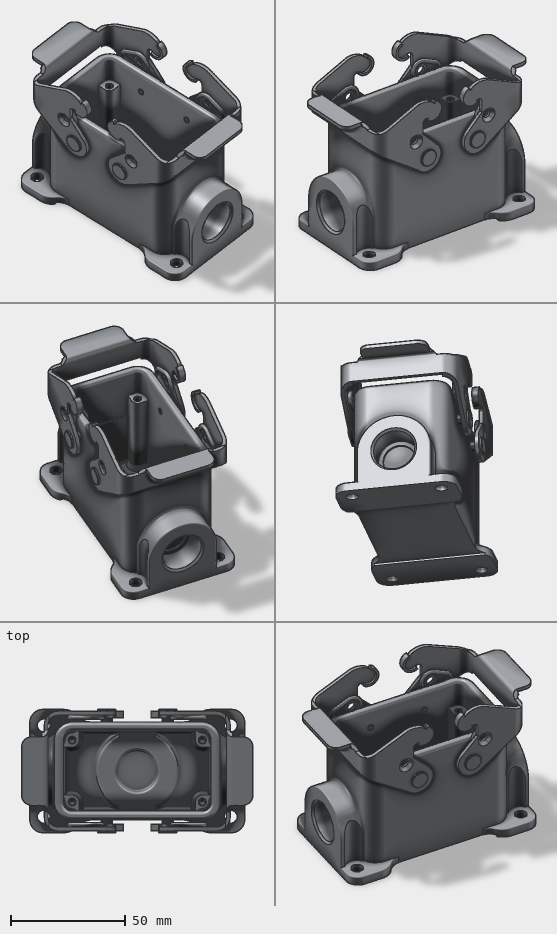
import cadquery as cq
import math

EPS = 0.1

HALF_X = 36.3
HALF_Y = 21.5
CORNER_R = 8.0
WALL = 3.9
BASE_Z = 1.0
DRAFT_Z = 50.8
RIM_Z = 56.5
INNER_DRAFT = 0.8
RIM_R = WALL / 2
INNER_HALF_X = HALF_X - WALL
INNER_HALF_Y = HALF_Y - WALL
INNER_CORNER_R = CORNER_R - WALL
FLOOR_Z = 5.0
FLOOR_FILLET = 1.2

FLOOR_BOSS_R = 18.0
FLOOR_BOSS_TOP_R = 1.3
FLOOR_BOSS_ROOT_R = 1.8
FLOOR_BOSS_BRIDGE_X = 8.0
FLOOR_BOSS_BRIDGE_OVERLAP = 2.0
RECESS_R = 9.25
RECESS_FILLET = 1.2

POST_X = 28.5
POST_Y = 13.55
POST_Z = 43.3
POST_R = 3.0
POST_HOLE_D = 2.95
POST_MOUTH_D = 3.5
POST_HOLE_DEPTH = 12.0
POST_FOOT_R = 1.9
POST_WALL_OVERLAP = 1.0

PAD_X = 31.4
PAD_HALF_Y = 12.0
PAD_Z = 32.0
PAD_TOE_R = 2.3

END_X = 47.15
ENTRY_Z = 18.4
ENTRY_R = 16.45
ENTRY_EDGE = 0.6
ENTRY_ROOT_R = 1.5
ENTRY_BORE_D = 18.5
ENTRY_BORE_DEPTH = 11.5
ENTRY_CHAMFER = 1.0
KNOCKOUT_D = 14.5
KNOCKOUT_DEPTH = 1.0

FOOT_HALF_Y = 27.1
FOOT_Z = 4.15
FOOT_CORNER_R = 6.0
FOOT_BEND_X = -32.35
FOOT_BEND_R = 8.0
FOOT_BEVEL = 1.2
FOOT_TAIL_R = 6.4
FOOT_EDGE = 0.5
FOOT_HOLE_X = 41.0
FOOT_HOLE_Y = 20.0
FOOT_HOLE_D = 5.5
SCREW_CLEARANCE_R = 5.6

SHEET = 1.75
LEVER_X = -40.75
LEVER_Y = 26.2
LEVER_BEND_R = 6.0
LEVER_BLANK_Z = 80.0
WALL_TOP_Z = 66.0
WALL_TOP_FLAT = 2.0
WALL_BOTTOM_Z = 56.75
PIVOT_X = -13.4
PIVOT_Z = 46.6
PIVOT_LUG_R = 7.0
PIN_HEAD_D = 8.0
PIN_D = 4.9
PIN_HEAD_Y = 27.2
PIN_HEAD_CHAMFER = 0.3
PIN_TIP_D = 3.0
PIN_TIP_HOLE_D = 2.1
PIN_TIP_LENGTH = 0.3
PEAK = (-19.05, 74.66)
CREST_RUN = 2.5
CREST_RISE = 0.4
HOOK_X = -10.75
HOOK_Z = 69.1
HOOK_R = 4.75
HOOK_START_ANGLE = 72
HOOK_MID_ANGLE = -30
HOOK_END_ANGLE = -125
HOOK_LIP_WIDTH = 1.2
HOOK_LIP_Y = 23.3
NOTCH_SHIFT = 0.4
NOTCH_DEPTH = 1.3
SLOT_X = -14.1
SLOT_Z = 64.5
SLOT_R = 2.0
SLOT_TIP_SHIFT = 0.3
SLOT_TIP_RISE = 1.8

DIMPLE_X = -19.76
DIMPLE_Z = 56.5
DIMPLE_HOLE_D = 3.8
DIMPLE_MOUTH_D = 6.8
COLLAR_D = 6.0
COLLAR_Y = 23.3
WIRE_R = 1.0
WIRE_Y = 23.5
WIRE_LOOP_R = 4.45
WIRE_END_X = -26.84
WIRE_END_Z = 55.1
WIRE_END_R = 2.8

TAB_END_X = -50.7
TAB_HALF_Y = 15.0
TAB_CORNER_R = 4.4
TAB_ROOT_HALF_Y = 18.0
TAB_INNER_R = 1.0


def block(x0, x1, y0, y1, z0, z1):
    """Box between two opposite corners."""
    return cq.Workplane("XY").box(x1 - x0, y1 - y0, z1 - z0, centered=False).translate((x0, y0, z0))


def rounded_prism(half_x, half_y, radius, z0, z1):
    """Vertical prism with a rounded rectangular plan."""
    prism = block(-half_x, half_x, -half_y, half_y, z0, z1)
    return prism.edges("|Z").fillet(radius)


def drafted_prism(half_x, half_y, radius, top_z, height, draft):
    """Vertical prism below top_z that narrows downward by the draft angle."""
    section = cq.Sketch().rect(2 * half_x, 2 * half_y).vertices().fillet(radius)
    prism = cq.Workplane("XY").placeSketch(section).extrude(height, taper=draft)
    return prism.mirror("XY").translate((0, 0, top_z))


def cylinder_x(x0, x1, z, radius):
    """Cylinder along X in the plane Y = 0."""
    return cq.Workplane("YZ", origin=(x0, 0, z)).circle(radius).extrude(x1 - x0)


def cylinder_y(x, z, y0, y1, radius):
    """Cylinder along Y between y0 and y1."""
    return cq.Workplane("XZ", origin=(x, y0, z)).circle(radius).extrude(y0 - y1)


def cylinder_z(x, y, z, diameter, height):
    """Vertical cylinder rising from z."""
    return cq.Workplane("XY", origin=(x, y, z)).circle(diameter / 2).extrude(height)


def on_circle(center_u, center_v, radius, degrees):
    """Point on a circle at an angle measured from the first axis."""
    angle = math.radians(degrees)
    return (center_u + radius * math.cos(angle), center_v + radius * math.sin(angle))


def with_mirror(body, plane):
    """The body together with its mirror image."""
    return body.union(body.mirror(plane))


def foot_outline():
    """Half plan (Y >= 0) of the foot flange at the -X end."""
    diagonal = math.sqrt(0.5)
    bend_x = FOOT_BEND_X + FOOT_BEND_R * diagonal
    bend_y = FOOT_HALF_Y - FOOT_BEND_R * (1 - diagonal)
    bend_mid = on_circle(FOOT_BEND_X, FOOT_HALF_Y - FOOT_BEND_R, FOOT_BEND_R, 67.5)
    tail_x = bend_x + FOOT_BEVEL
    tail_y = bend_y - FOOT_BEVEL
    tail_center_x = tail_x + FOOT_TAIL_R * diagonal
    tail_center_y = tail_y + FOOT_TAIL_R * diagonal
    tail_mid = on_circle(tail_center_x, tail_center_y, FOOT_TAIL_R, -112.5)
    tail_end = (tail_center_x, tail_center_y - FOOT_TAIL_R)
    corner_x = -END_X + FOOT_CORNER_R
    corner_y = FOOT_HALF_Y - FOOT_CORNER_R
    return (
        cq.Workplane("XY")
        .moveTo(-END_X, 0)
        .lineTo(-END_X, corner_y)
        .threePointArc(on_circle(corner_x, corner_y, FOOT_CORNER_R, 135), (corner_x, FOOT_HALF_Y))
        .lineTo(FOOT_BEND_X, FOOT_HALF_Y)
        .threePointArc(bend_mid, (bend_x, bend_y))
        .lineTo(tail_x, tail_y)
        .threePointArc(tail_mid, tail_end)
        .lineTo(tail_end[0], 0)
        .close()
    )


def make_feet():
    """Foot flange at the -X end; its underside steps up beside the mounting pad."""
    half = foot_outline().extrude(FOOT_Z)
    feet = with_mirror(half, "XZ")
    feet = feet.faces(">Z").edges().fillet(FOOT_EDGE)
    pad_x = FOOT_BEND_X + FOOT_BEND_R * math.sqrt(0.5)
    return feet.cut(block(pad_x, 0, -FOOT_HALF_Y, FOOT_HALF_Y, 0, BASE_Z))


def make_entry():
    """Arched cable entry at the -X end."""
    arch = cylinder_x(-END_X, -INNER_HALF_X, ENTRY_Z, ENTRY_R)
    arch = arch.union(block(-END_X, -INNER_HALF_X, -ENTRY_R, ENTRY_R, 0, ENTRY_Z))
    return arch.faces("<X").edges("not <Z").fillet(ENTRY_EDGE)


def make_entry_bore():
    """Blind bore of the -X entry with a knock-out recess in its end face."""
    floor_x = -END_X + ENTRY_BORE_DEPTH
    bore = cylinder_x(-END_X, floor_x, ENTRY_Z, ENTRY_BORE_D / 2)
    recess = cylinder_x(floor_x, floor_x + KNOCKOUT_DEPTH, ENTRY_Z, KNOCKOUT_D / 2)
    mouth = cq.Workplane(
        cq.Solid.makeCone(
            ENTRY_BORE_D / 2 + ENTRY_CHAMFER,
            ENTRY_BORE_D / 2,
            ENTRY_CHAMFER,
            pnt=cq.Vector(-END_X, 0, ENTRY_Z),
            dir=cq.Vector(1, 0, 0),
        )
    )
    return bore.union(recess).union(mouth)


def make_post_hole():
    """Screw hole with a chamfered mouth and a conical bottom."""
    hole_r = POST_HOLE_D / 2
    mouth_r = POST_MOUTH_D / 2
    bottom_z = POST_Z - POST_HOLE_DEPTH
    return (
        cq.Workplane("XZ")
        .polyline([
            (0, POST_Z),
            (mouth_r, POST_Z),
            (hole_r, POST_Z - (mouth_r - hole_r)),
            (hole_r, bottom_z),
            (0, bottom_z - hole_r),
        ])
        .close()
        .revolve(360, (0, 0, 0), (0, 1, 0))
        .translate((POST_X, POST_Y, 0))
    )


def make_post(side_x, side_y):
    """Screw post that fills one inner corner, with a rounded free corner and a splayed root."""
    inner_x = POST_X - POST_R
    inner_y = POST_Y - POST_R
    outer_x = INNER_HALF_X + POST_WALL_OVERLAP
    outer_y = INNER_HALF_Y + POST_WALL_OVERLAP
    post = block(inner_x, outer_x, inner_y, outer_y, FLOOR_Z - EPS, POST_Z)
    post = post.edges("|Z and <X and <Y").fillet(POST_R)
    root = block(
        inner_x - POST_FOOT_R,
        outer_x,
        inner_y - POST_FOOT_R,
        outer_y,
        FLOOR_Z - EPS,
        FLOOR_Z + POST_FOOT_R,
    )
    root = root.edges("|Z and <X and <Y").fillet(POST_R + POST_FOOT_R)
    root = root.faces(">Z").edges("<X or <Y or %CIRCLE").chamfer(POST_FOOT_R - EPS)
    post = post.union(root).cut(make_post_hole())
    if side_x < 0:
        post = post.mirror("YZ")
    if side_y < 0:
        post = post.mirror("XZ")
    return post


def make_floor_boss():
    """Round raised pad, bridged to the long walls, with a shallow central recess."""
    step_z = FLOOR_Z + FLOOR_BOSS_ROOT_R
    top_z = step_z + FLOOR_BOSS_TOP_R
    root_x = FLOOR_BOSS_R + FLOOR_BOSS_ROOT_R
    edge_x = FLOOR_BOSS_R - FLOOR_BOSS_TOP_R
    recess_mid_z = top_z - RECESS_FILLET
    rim_x = RECESS_R + RECESS_FILLET
    bottom_x = RECESS_R - RECESS_FILLET
    recess_z = recess_mid_z - RECESS_FILLET
    profile = (
        cq.Workplane("XZ")
        .moveTo(0, FLOOR_Z - EPS)
        .lineTo(root_x, FLOOR_Z - EPS)
        .lineTo(root_x, FLOOR_Z)
        .threePointArc(on_circle(root_x, step_z, FLOOR_BOSS_ROOT_R, 225), (FLOOR_BOSS_R, step_z))
        .threePointArc(on_circle(edge_x, step_z, FLOOR_BOSS_TOP_R, 45), (edge_x, top_z))
        .lineTo(rim_x, top_z)
        .threePointArc(on_circle(rim_x, recess_mid_z, RECESS_FILLET, 135), (RECESS_R, recess_mid_z))
        .threePointArc(on_circle(bottom_x, recess_mid_z, RECESS_FILLET, -45), (bottom_x, recess_z))
        .lineTo(0, recess_z)
        .close()
    )
    boss = profile.revolve(360, (0, 0, 0), (0, 1, 0))
    wall_y = INNER_HALF_Y + EPS
    boss = boss.intersect(block(-HALF_X, HALF_X, -wall_y, wall_y, 0, RIM_Z))
    bridge_y = edge_x - FLOOR_BOSS_BRIDGE_OVERLAP
    bridge = block(-FLOOR_BOSS_BRIDGE_X, FLOOR_BOSS_BRIDGE_X, bridge_y, wall_y, FLOOR_Z - EPS, top_z)
    return boss.union(with_mirror(bridge, "XZ"))


def make_rim():
    """Upright upper wall ending in a full-round bead."""
    spine_y = HALF_Y - RIM_R
    bead_z = RIM_Z - RIM_R
    spine = cq.Sketch().rect(2 * (HALF_X - RIM_R), 2 * spine_y).vertices().fillet(CORNER_R - RIM_R)
    path = cq.Workplane("XY").placeSketch(spine).extrude(RIM_R).faces("<Z").wires()
    section = (
        cq.Workplane("YZ", origin=(0, -spine_y, 0))
        .moveTo(-RIM_R, DRAFT_Z)
        .lineTo(RIM_R, DRAFT_Z)
        .lineTo(RIM_R, bead_z)
        .threePointArc((0, RIM_Z), (-RIM_R, bead_z))
        .close()
    )
    return section.sweep(path)


def make_body():
    """Solid lower body with its entries blended in and its feet attached."""
    body = rounded_prism(HALF_X, HALF_Y, CORNER_R, BASE_Z, DRAFT_Z)
    body = body.union(with_mirror(make_entry(), "YZ"))
    for side in (-1, 1):
        entry_root = cq.selectors.BoxSelector(
            (side * (HALF_X + EPS), -ENTRY_R - EPS, BASE_Z + EPS),
            (side * INNER_HALF_X, ENTRY_R + EPS, ENTRY_Z + ENTRY_R + EPS),
        )
        body = body.edges(entry_root).fillet(ENTRY_ROOT_R)
    return body.union(with_mirror(make_feet(), "YZ"))


def make_pad():
    """Thickened lower stretch of the -X end wall with a rounded toe on the floor."""
    toe_x = -PAD_X + PAD_TOE_R
    toe_z = FLOOR_Z + PAD_TOE_R
    back_x = -INNER_HALF_X - EPS
    return (
        cq.Workplane("XZ", origin=(0, PAD_HALF_Y, 0))
        .moveTo(back_x, PAD_Z)
        .lineTo(-PAD_X, PAD_Z)
        .lineTo(-PAD_X, toe_z)
        .threePointArc(on_circle(toe_x, toe_z, PAD_TOE_R, 225), (toe_x, FLOOR_Z))
        .lineTo(toe_x, FLOOR_Z - EPS)
        .lineTo(back_x, FLOOR_Z - EPS)
        .close()
        .extrude(2 * PAD_HALF_Y)
    )


def make_housing():
    """Open-topped housing with entries, feet, posts and floor boss."""
    cavity_height = DRAFT_Z - FLOOR_Z
    cavity = drafted_prism(
        INNER_HALF_X, INNER_HALF_Y, INNER_CORNER_R, DRAFT_Z, cavity_height, INNER_DRAFT
    )
    cavity = cavity.faces("<Z").edges().fillet(FLOOR_FILLET)
    housing = make_body().cut(cavity).union(make_rim())
    housing = housing.union(with_mirror(make_pad(), "YZ"))
    housing = housing.union(make_floor_boss())
    scallop_height = ENTRY_Z + ENTRY_R
    for side_x in (-1, 1):
        for side_y in (-1, 1):
            hole_x = side_x * FOOT_HOLE_X
            hole_y = side_y * FOOT_HOLE_Y
            housing = housing.union(make_post(side_x, side_y))
            housing = housing.cut(cylinder_z(hole_x, hole_y, 0, FOOT_HOLE_D, FOOT_Z))
            housing = housing.cut(
                cylinder_z(hole_x, hole_y, FOOT_Z, 2 * SCREW_CLEARANCE_R, scallop_height)
            )
    return housing.cut(with_mirror(make_entry_bore(), "YZ"))


def lever_profile():
    """Side outline of the lever: bent wall, hook, slot and pivot lug."""
    lug_top = on_circle(PIVOT_X, PIVOT_Z, PIVOT_LUG_R, 45)
    lug_mid = on_circle(PIVOT_X, PIVOT_Z, PIVOT_LUG_R, -40)
    lug_bottom = on_circle(PIVOT_X, PIVOT_Z, PIVOT_LUG_R, -125)
    slot_wall_x = SLOT_X - SLOT_R
    slot_bottom_z = lug_top[1] + lug_top[0] - slot_wall_x
    hook_start = on_circle(HOOK_X, HOOK_Z, HOOK_R, HOOK_START_ANGLE)
    hook_mid = on_circle(HOOK_X, HOOK_Z, HOOK_R, HOOK_MID_ANGLE)
    hook_end = on_circle(HOOK_X, HOOK_Z, HOOK_R, HOOK_END_ANGLE)
    notch = (hook_start[0] - NOTCH_SHIFT, hook_start[1] - NOTCH_DEPTH)
    back_end = (notch[0] - NOTCH_DEPTH, notch[1] + NOTCH_DEPTH)
    return (
        cq.Workplane("XZ", origin=(0, LEVER_Y + 1, 0))
        .moveTo(LEVER_X, WALL_TOP_Z)
        .lineTo(LEVER_X + WALL_TOP_FLAT, WALL_TOP_Z)
        .lineTo(*PEAK)
        .threePointArc((PEAK[0] + CREST_RUN, PEAK[1] + CREST_RISE), back_end)
        .lineTo(*notch)
        .lineTo(*hook_start)
        .threePointArc(hook_mid, hook_end)
        .lineTo(hook_end[0] + SLOT_TIP_SHIFT, SLOT_Z + SLOT_TIP_RISE)
        .lineTo(SLOT_X, SLOT_Z + SLOT_R)
        .threePointArc(on_circle(SLOT_X, SLOT_Z, SLOT_R, 135), (slot_wall_x, SLOT_Z))
        .lineTo(slot_wall_x, slot_bottom_z)
        .lineTo(*lug_top)
        .threePointArc(lug_mid, lug_bottom)
        .lineTo(LEVER_X, WALL_BOTTOM_Z)
        .close()
        .extrude(2 * (LEVER_Y + 1))
    )


def make_strap():
    """U-shaped sheet strap trimmed to the lever outline, flat under its end wall."""
    outer = block(LEVER_X, 0, -LEVER_Y, LEVER_Y, 0, LEVER_BLANK_Z)
    outer = outer.edges("|Z and <X").fillet(LEVER_BEND_R)
    inner_y = LEVER_Y - SHEET
    inner = block(LEVER_X + SHEET, 1, -inner_y, inner_y, 0, LEVER_BLANK_Z)
    inner = inner.edges("|Z and <X").fillet(LEVER_BEND_R - SHEET)
    strap = outer.cut(inner).intersect(lever_profile())
    flat_y = LEVER_Y - LEVER_BEND_R
    return strap.cut(block(LEVER_X, LEVER_X + SHEET, -flat_y, flat_y, 0, WALL_BOTTOM_Z))


def make_tab():
    """Finger tab bent outward from the top of the strap's end wall."""
    outer_r = TAB_INNER_R + SHEET
    bend_x = LEVER_X - TAB_INNER_R
    top_z = WALL_TOP_Z + outer_r
    plate = block(TAB_END_X, bend_x, -TAB_HALF_Y, TAB_HALF_Y, top_z - SHEET, top_z)
    plate = plate.edges("|Z and <X").fillet(TAB_CORNER_R)
    bend = (
        cq.Workplane("XZ", origin=(0, TAB_ROOT_HALF_Y, 0))
        .moveTo(bend_x, top_z)
        .threePointArc(on_circle(bend_x, WALL_TOP_Z, outer_r, 45), (bend_x + outer_r, WALL_TOP_Z))
        .lineTo(LEVER_X, WALL_TOP_Z)
        .threePointArc(on_circle(bend_x, WALL_TOP_Z, TAB_INNER_R, 45), (bend_x, top_z - SHEET))
        .close()
        .extrude(2 * TAB_ROOT_HALF_Y)
    )
    flare = (
        cq.Workplane("YZ", origin=(LEVER_X - outer_r, 0, 0))
        .polyline([
            (-TAB_ROOT_HALF_Y, WALL_TOP_Z),
            (TAB_ROOT_HALF_Y, WALL_TOP_Z),
            (TAB_HALF_Y, top_z),
            (-TAB_HALF_Y, top_z),
        ])
        .close()
        .extrude(2 * outer_r)
    )
    return plate.union(bend.intersect(flare))


def make_wire():
    """Closed wire spring: a wide loop round the dimple and a narrow loop behind it."""
    run_x = DIMPLE_X - WIRE_END_X
    run_z = DIMPLE_Z - WIRE_END_Z
    tilt = math.degrees(math.atan2(run_z, run_x))
    spread = math.degrees(math.asin((WIRE_LOOP_R - WIRE_END_R) / math.hypot(run_x, run_z)))
    upper = tilt + 90 + spread
    lower = tilt - 90 - spread
    start = on_circle(WIRE_END_X, WIRE_END_Z, WIRE_END_R, upper)
    path = (
        cq.Workplane("XZ", origin=(0, WIRE_Y, 0))
        .moveTo(*start)
        .lineTo(*on_circle(DIMPLE_X, DIMPLE_Z, WIRE_LOOP_R, upper))
        .threePointArc(
            on_circle(DIMPLE_X, DIMPLE_Z, WIRE_LOOP_R, tilt),
            on_circle(DIMPLE_X, DIMPLE_Z, WIRE_LOOP_R, lower),
        )
        .lineTo(*on_circle(WIRE_END_X, WIRE_END_Z, WIRE_END_R, lower))
        .threePointArc(on_circle(WIRE_END_X, WIRE_END_Z, WIRE_END_R, tilt + 180), start)
        .close()
    )
    run_angle = math.radians(upper - 90)
    section = cq.Plane(
        origin=(start[0], WIRE_Y, start[1]),
        xDir=(0, 1, 0),
        normal=(math.cos(run_angle), 0, math.sin(run_angle)),
    )
    return cq.Workplane(section).circle(WIRE_R).sweep(path)


def make_hook_lip():
    """Raised rim on the inner face of the hook."""
    inner_r = HOOK_R - HOOK_LIP_WIDTH
    return (
        cq.Workplane("XZ", origin=(0, LEVER_Y, 0))
        .moveTo(*on_circle(HOOK_X, HOOK_Z, HOOK_R, HOOK_START_ANGLE))
        .threePointArc(
            on_circle(HOOK_X, HOOK_Z, HOOK_R, HOOK_MID_ANGLE),
            on_circle(HOOK_X, HOOK_Z, HOOK_R, HOOK_END_ANGLE),
        )
        .lineTo(*on_circle(HOOK_X, HOOK_Z, inner_r, HOOK_END_ANGLE))
        .threePointArc(
            on_circle(HOOK_X, HOOK_Z, inner_r, HOOK_MID_ANGLE),
            on_circle(HOOK_X, HOOK_Z, inner_r, HOOK_START_ANGLE),
        )
        .close()
        .extrude(LEVER_Y - HOOK_LIP_Y)
    )


def make_pivot_pin():
    """Headed pivot pin through the lever and the housing wall, hollow at its inner tip."""
    tip_y = INNER_HALF_Y - PIN_TIP_LENGTH
    head = cylinder_y(PIVOT_X, PIVOT_Z, LEVER_Y - EPS, PIN_HEAD_Y, PIN_HEAD_D / 2)
    head = head.faces(">Y").chamfer(PIN_HEAD_CHAMFER)
    shank = cylinder_y(PIVOT_X, PIVOT_Z, HALF_Y - EPS, LEVER_Y, PIN_D / 2)
    tip = cylinder_y(PIVOT_X, PIVOT_Z, tip_y, HALF_Y, PIN_TIP_D / 2)
    hollow = cylinder_y(PIVOT_X, PIVOT_Z, tip_y, INNER_HALF_Y, PIN_TIP_HOLE_D / 2)
    return head.union(shank).union(tip).cut(hollow)


def make_lever():
    """Complete lever at the -X end with its pins and springs."""
    lever = make_strap().union(make_tab())
    collar = cylinder_y(DIMPLE_X, DIMPLE_Z, COLLAR_Y, LEVER_Y, COLLAR_D / 2)
    fittings = collar.union(make_hook_lip()).union(make_pivot_pin()).union(make_wire())
    lever = lever.union(with_mirror(fittings, "XZ"))
    hole = cylinder_y(DIMPLE_X, DIMPLE_Z, COLLAR_Y, LEVER_Y, DIMPLE_HOLE_D / 2)
    funnel = cq.Workplane(
        cq.Solid.makeCone(
            DIMPLE_MOUTH_D / 2,
            DIMPLE_HOLE_D / 2,
            SHEET,
            pnt=cq.Vector(DIMPLE_X, LEVER_Y, DIMPLE_Z),
            dir=cq.Vector(0, -1, 0),
        )
    )
    return lever.cut(with_mirror(hole.union(funnel), "XZ"))


result = make_housing().union(with_mirror(make_lever(), "YZ"))